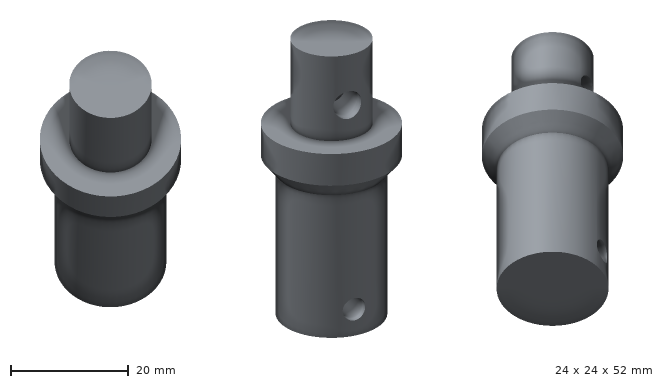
import cadquery as cq

total_length = 52.0
taper_start_height = 27.0
collar_bottom_height = 30.0
collar_top_height = 36.0

shank_diameter = 19.0
collar_diameter = 24.0
spigot_diameter = 14.0

spigot_hole_diameter = 5.2
spigot_hole_height = 42.5
shank_hole_diameter = 4.2
shank_hole_height = 5.0


def turned_body():
    """Shank, tapered collar and spigot, revolved about the Z axis."""
    shank_radius = shank_diameter / 2
    collar_radius = collar_diameter / 2
    spigot_radius = spigot_diameter / 2
    half_profile = [
        (0, 0),
        (shank_radius, 0),
        (shank_radius, taper_start_height),
        (collar_radius, collar_bottom_height),
        (collar_radius, collar_top_height),
        (spigot_radius, collar_top_height),
        (spigot_radius, total_length),
        (0, total_length),
    ]
    return cq.Workplane("XZ").polyline(half_profile).close().revolve(360, (0, 0), (0, 1))


def radial_hole(diameter, height):
    """Cutter along Y from the part's axis out past the +Y side."""
    return cq.Workplane("XZ").center(0, height).circle(diameter / 2).extrude(-collar_diameter)


spigot_hole = radial_hole(spigot_hole_diameter, spigot_hole_height)
shank_hole = radial_hole(shank_hole_diameter, shank_hole_height)
result = turned_body().cut(spigot_hole).cut(shank_hole)